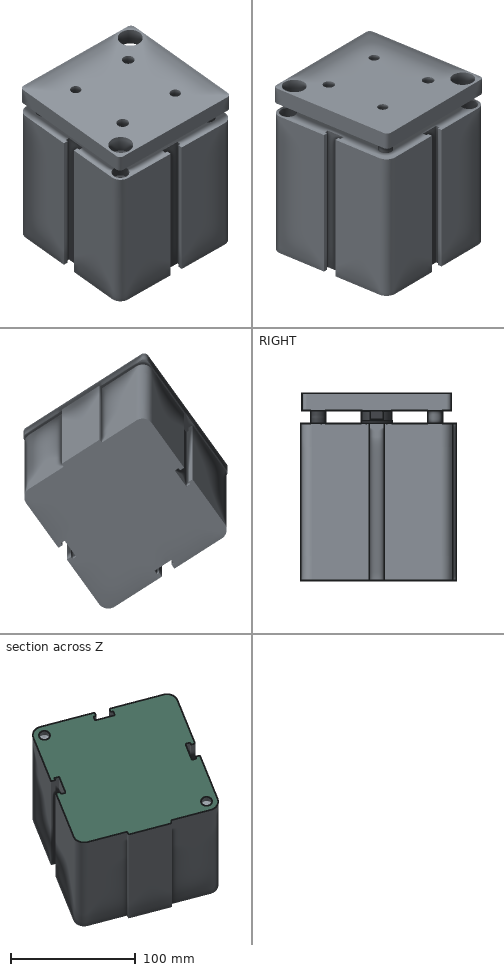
import cadquery as cq

total_height = 150.5
plate_thickness = 14.0
plate_gap = 10.2
housing_height = total_height - plate_thickness - plate_gap
plate_bottom = housing_height + plate_gap

housing_side = 122.0
housing_corner_radius = 9.0
top_cap_height = 19.1
bottom_cap_height = 19.5
barrel_height = housing_height - top_cap_height - bottom_cap_height

slot_mouth_width = 12.0
slot_inner_width = 16.4
slot_lip = 3.9
slot_depth = 7.5
slot_side_angles = (-90, 0, 90)

rail_height = 3.0
rail_root_width = 37.6
rail_top_width = 36.4

screw_offset = 51.6
screw_bore_diameter = 8.6
screw_head_diameter = 14.3
screw_head_depth = 9.0

collar_diameter = 25.0
collar_height = 2.0

plate_side = 120.1
plate_corner_radius = 3.9
access_hole_offset = 48.0
access_hole_diameter = 20.0
mount_hole_offset = 28.3
mount_hole_diameter = 9.0
dowel_hole_diameter = 10.1

guide_rod_offset = 47.0
guide_rod_diameter = 12.0
piston_rod_diameter = 24.5
piston_rod_flat_width = 22.1
piston_flat_height = 7.0
piston_rod_chamfer = 0.5


def opposite_points(offset):
    """The (-X, +Y) and (+X, -Y) corner positions of a square pattern."""
    return [(-offset, offset), (offset, -offset)]


def matching_points(offset):
    """The (-X, -Y) and (+X, +Y) corner positions of a square pattern."""
    return [(-offset, -offset), (offset, offset)]


def make_block(base, height):
    """One rounded square length of the housing."""
    return (
        cq.Workplane("XY", origin=(0, 0, base))
        .rect(housing_side, housing_side)
        .extrude(height)
        .edges("|Z")
        .fillet(housing_corner_radius)
    )


def make_rail(base, height):
    """Tapered rail on the +Y side, rooted at the housing axis so that it joins the block."""
    side = housing_side / 2
    half_root = rail_root_width / 2
    half_top = rail_top_width / 2
    return (
        cq.Workplane("XY", origin=(0, 0, base))
        .moveTo(-half_root, 0)
        .lineTo(half_root, 0)
        .lineTo(half_root, side)
        .lineTo(half_top, side + rail_height)
        .lineTo(-half_top, side + rail_height)
        .lineTo(-half_root, side)
        .close()
        .extrude(height)
    )


def make_slot(base, height, angle):
    """T-slot cutter for the -Y side, turned about Z to the chosen side."""
    side = -housing_side / 2
    lip_end = side + slot_lip
    floor = side + slot_depth
    half_mouth = slot_mouth_width / 2
    half_inner = slot_inner_width / 2
    return (
        cq.Workplane("XY", origin=(0, 0, base))
        .moveTo(-half_mouth, side)
        .lineTo(half_mouth, side)
        .lineTo(half_mouth, lip_end)
        .lineTo(half_inner, lip_end)
        .lineTo(half_inner, floor)
        .lineTo(-half_inner, floor)
        .lineTo(-half_inner, lip_end)
        .lineTo(-half_mouth, lip_end)
        .close()
        .extrude(height)
        .rotate((0, 0, 0), (0, 0, 1), angle)
    )


def make_section(base, height):
    """One length of the housing profile: block, rail and T-slots."""
    section = make_block(base, height).union(make_rail(base, height))
    for angle in slot_side_angles:
        section = section.cut(make_slot(base, height, angle))
    return section


def make_housing():
    """Cylinder housing: two end caps on a barrel, with screw holes and collar."""
    barrel_top = bottom_cap_height + barrel_height
    bottom_cap = make_section(0, bottom_cap_height)
    barrel = make_section(bottom_cap_height, barrel_height)
    top_cap = make_section(barrel_top, top_cap_height)
    top_cap = (
        top_cap.faces(">Z")
        .workplane(origin=(0, 0, housing_height))
        .pushPoints(opposite_points(screw_offset))
        .cboreHole(screw_bore_diameter, screw_head_diameter, screw_head_depth)
    )
    collar = (
        cq.Workplane("XY", origin=(0, 0, housing_height))
        .circle(collar_diameter / 2)
        .extrude(collar_height)
    )
    return (
        barrel.union(bottom_cap, clean=False)
        .union(top_cap, clean=False)
        .union(collar, clean=False)
    )


def make_plate():
    """Square plate with corner access holes, mounting holes and dowel holes."""
    return (
        cq.Workplane("XY", origin=(0, 0, plate_bottom))
        .rect(plate_side, plate_side)
        .extrude(plate_thickness)
        .edges("|Z")
        .fillet(plate_corner_radius)
        .faces(">Z")
        .workplane(origin=(0, 0, total_height))
        .pushPoints(opposite_points(access_hole_offset))
        .hole(access_hole_diameter)
        .pushPoints(matching_points(mount_hole_offset))
        .hole(mount_hole_diameter)
        .pushPoints(opposite_points(mount_hole_offset))
        .hole(dowel_hole_diameter)
    )


def make_piston_rod():
    """Piston rod from the collar to the plate, with two wrench flats facing X."""
    rod_length = plate_gap - collar_height
    rod = (
        cq.Workplane("XY", origin=(0, 0, housing_height + collar_height))
        .circle(piston_rod_diameter / 2)
        .extrude(rod_length)
        .faces(">Z")
        .edges()
        .chamfer(piston_rod_chamfer)
    )
    flat_base = plate_bottom - piston_flat_height
    flat_zone = (
        cq.Workplane("XY", origin=(0, 0, flat_base))
        .rect(2 * piston_rod_diameter, 2 * piston_rod_diameter)
        .rect(piston_rod_flat_width, 2 * piston_rod_diameter)
        .extrude(piston_flat_height)
    )
    return rod.cut(flat_zone)


def make_guide_rods():
    """Two guide rods from the housing top to the plate."""
    return (
        cq.Workplane("XY", origin=(0, 0, housing_height))
        .pushPoints(matching_points(guide_rod_offset))
        .circle(guide_rod_diameter / 2)
        .extrude(plate_gap)
    )


housing = make_housing()
moving_plate = make_plate().union(make_piston_rod()).union(make_guide_rods())

result = cq.Compound.makeCompound([housing.val(), moving_plate.val()])